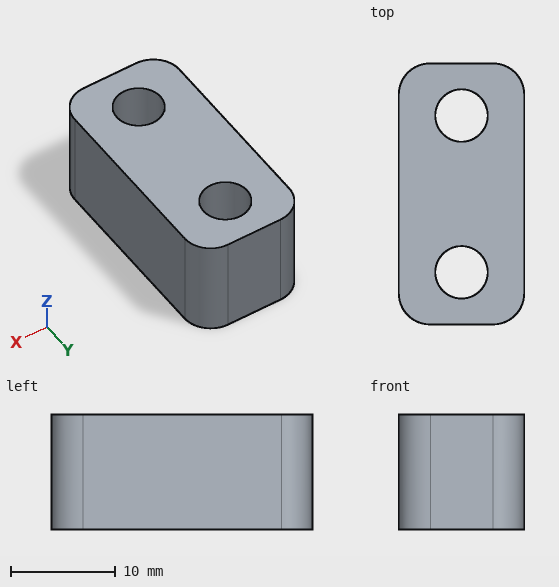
import cadquery as cq

length = 24.97
width = 12.0
height = 11.0
corner_radius = 3.0

hole_diameter = 5.0
hole_spacing = 14.98

block = cq.Workplane("XY").box(width, length, height)
rounded_block = block.edges("|Z").fillet(corner_radius)

hole_centers = [(0, -hole_spacing / 2), (0, hole_spacing / 2)]
result = rounded_block.faces(">Z").workplane().pushPoints(hole_centers).hole(hole_diameter)